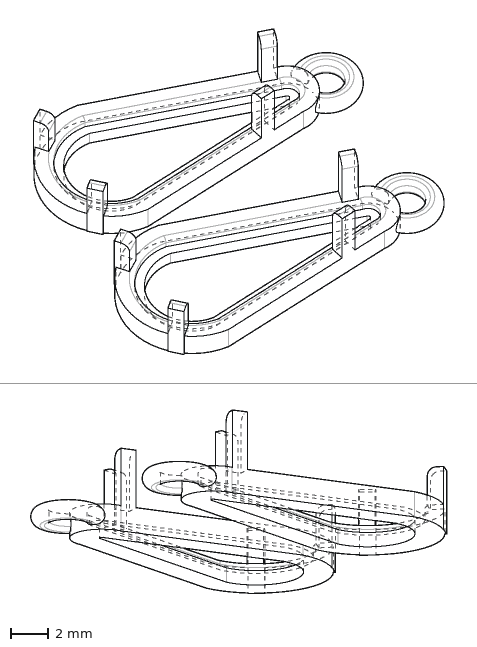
import cadquery as cq
import math

pendant_pitch = 9.5
pendant_count = 2

frame_height = 1.4
frame_width = 8.25
small_radius = 1.73
arc_spacing = 10.53
outer_seam_rise = 0.1
rim_width = 0.78
seat_round = 0.28
ledge_width = 0.53
seat_floor = 0.8

loop_radius = 2.0
loop_hole_radius = 1.0
loop_thickness = 1.0
loop_mid_height = 0.78
loop_edge_round = 0.25
total_length = 18.97

prong_width = 0.9
prong_round = 0.5
tall_prong_height = 4.6
tall_prong_depth = 0.82
left_tall_y = 10.17
right_tall_y = 8.21
short_prong_height = 3.5
short_prong_depth = 0.9
left_short_place = (-2.88, -3.0)
left_short_angle = 220.0
right_short_place = (3.25, -2.62)
right_short_angle = 317.5

big_radius = frame_width / 2
seat_inset = rim_width + seat_round
opening_inset = seat_inset + ledge_width
big_seam_x = math.sqrt(big_radius**2 - outer_seam_rise**2)
small_seam_x = math.sqrt(small_radius**2 - outer_seam_rise**2)
side_slope = (big_seam_x - small_seam_x) / arc_spacing
side_lean = math.degrees(math.atan(side_slope))
loop_center_y = total_length - big_radius - loop_radius


def teardrop(inset, height, seam_rise=0.0):
    """Teardrop prism: both arcs are reduced by the inset, the sides meet them at the seam rise."""
    big = big_radius - inset
    small = small_radius - inset
    big_half = math.sqrt(big**2 - seam_rise**2)
    small_half = math.sqrt(small**2 - seam_rise**2)
    small_seam_y = arc_spacing + seam_rise
    return (
        cq.Workplane("XY")
        .moveTo(-big_half, seam_rise)
        .threePointArc((0, -big), (big_half, seam_rise))
        .lineTo(small_half, small_seam_y)
        .threePointArc((0, arc_spacing + small), (-small_half, small_seam_y))
        .close()
        .extrude(height)
    )


def make_loop():
    """Hanging loop: round on the outside, with a softened straight hole."""
    half = loop_thickness / 2
    tube_radius = loop_radius - half
    loop = (
        cq.Workplane("XZ")
        .moveTo(tube_radius, -half)
        .threePointArc((loop_radius, 0), (tube_radius, half))
        .lineTo(loop_hole_radius + loop_edge_round, half)
        .radiusArc((loop_hole_radius, half - loop_edge_round), -loop_edge_round)
        .lineTo(loop_hole_radius, loop_edge_round - half)
        .radiusArc((loop_hole_radius + loop_edge_round, -half), -loop_edge_round)
        .close()
        .revolve(360, (0, 0, 0), (0, 1, 0))
    )
    return loop.translate((0, loop_center_y, loop_mid_height))


def side_x(y):
    """Distance of the straight outer side from the pendant's centre line."""
    return big_seam_x - side_slope * (y - outer_seam_rise)


def make_prong(place, outward_angle, depth, height):
    """Prong whose outer face is centred on a place and looks along an angle."""
    prong = (
        cq.Workplane("XY")
        .box(depth, prong_width, height, centered=(False, True, False))
        .faces(">Z")
        .edges(">X")
        .fillet(prong_round)
    )
    return prong.rotate((0, 0, 0), (0, 0, 1), outward_angle + 180).translate((*place, 0))


def rounding_profile(wall_x, y, side=1):
    """Section in an XZ plane of what the rounding removes from a wall's upper edge."""
    round_start = frame_height - seat_round
    bulge = seat_round * (1 - math.sqrt(0.5))
    return (
        cq.Workplane("XZ", origin=(0, y, 0))
        .moveTo(side * wall_x, round_start)
        .threePointArc(
            (side * (wall_x + bulge), frame_height - bulge),
            (side * (wall_x + seat_round), frame_height),
        )
        .lineTo(side * wall_x, frame_height)
        .close()
    )


def round_seat_edge(frame):
    """Round the upper edge of the seat along both arcs and both straight sides."""
    big = big_radius - seat_inset
    small = small_radius - seat_inset
    axis = ((0, 0, 0), (0, 1, 0))
    half_turn = 180
    big_arc = rounding_profile(big, 0, -1).revolve(half_turn, *axis)
    small_arc = rounding_profile(small, arc_spacing).revolve(half_turn, *axis)
    frame = frame.cut(big_arc).cut(small_arc)
    for side in (-1, 1):
        section = rounding_profile(big, 0, side).wire().val()
        along_side = cq.Vector(side * (small - big), arc_spacing, 0)
        frame = frame.cut(cq.Workplane(cq.Solid.extrudeLinear(section, [], along_side)))
    return frame


def make_pendant():
    """One pendant: loop, frame with seat and opening, and four prongs."""
    frame = teardrop(0, frame_height, outer_seam_rise)
    frame = frame.cut(teardrop(seat_inset, frame_height).translate((0, 0, seat_floor)))
    frame = round_seat_edge(frame)
    frame = frame.cut(teardrop(opening_inset, frame_height))
    loop_end = teardrop(rim_width / 2, frame_height)
    frame = frame.union(make_loop().cut(loop_end))
    tall = (tall_prong_depth, tall_prong_height)
    short = (short_prong_depth, short_prong_height)
    left_tall_place = (-side_x(left_tall_y), left_tall_y)
    right_tall_place = (side_x(right_tall_y), right_tall_y)
    frame = frame.union(make_prong(left_tall_place, 180 - side_lean, *tall))
    frame = frame.union(make_prong(right_tall_place, side_lean, *tall))
    frame = frame.union(make_prong(left_short_place, left_short_angle, *short))
    frame = frame.union(make_prong(right_short_place, right_short_angle, *short))
    return frame


pendants = [
    make_pendant().translate((index * pendant_pitch, 0, 0)) for index in range(pendant_count)
]

result = cq.Compound.makeCompound([pendant.val() for pendant in pendants])